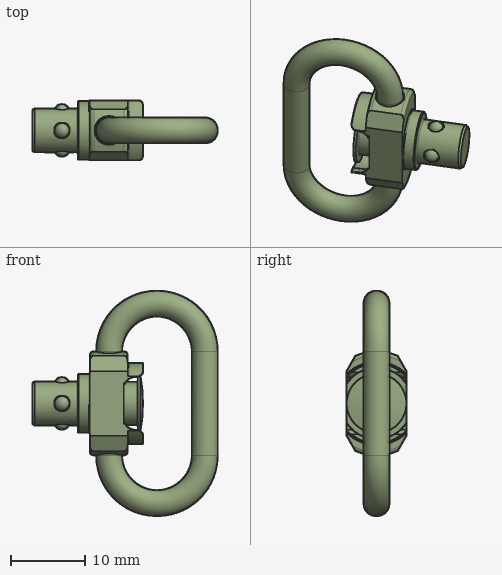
import cadquery as cq
import math


pin_radius = 3.0
pin_tip_length = 0.35
pin_tip_radius = 2.75
shoulder_front = 6.15
shoulder_radius = 4.0
shoulder_chamfer = 0.12
root_fillet = 0.15

ball_count = 4
ball_x = 4.03
ball_radius = 1.0
ball_protrusion = 0.58
ball_seat_radius = 1.07

block_front = 7.8
block_length = 5.1
block_radius = 7.05
block_edge_fillet = 0.5
block_width = 8.1
flat_half_height = 4.35
bevel_angle = 30.0

collar_length = 2.1
collar_radius = 5.5
collar_edge_chamfer = 0.1
pocket_sink = 0.5
bore_radius = 4.82
slot_half_height = 3.55
slot_floor_fillet = 1.45
slot_mouth_half_height = 4.18
slot_mouth_round = 1.22

button_stem_radius = 2.93
button_radius = 4.03
button_rim_length = 0.37
button_dome_height = 0.4

wire_radius = 1.77
bend_radius = 6.47
bend_x = 16.87
bend_z = 7.0
leg_hole_radius = 1.95
leg_hole_depth = 1.83

half_width = block_width / 2
block_back = block_front + block_length
collar_back = block_back + collar_length
pocket_floor = block_back - pocket_sink
pocket_depth = collar_back - pocket_floor
button_rim_back = collar_back - button_dome_height
button_rim_front = button_rim_back - button_rim_length
ball_orbit = pin_radius + ball_protrusion - ball_radius
leg_x = bend_x - bend_radius
leg_end_z = block_radius - leg_hole_depth
DIAGONAL = math.sqrt(0.5)


def revolve_about_x(outline):
    """Turn a closed half outline, drawn as (x, radius), around the X axis."""
    return outline.close().revolve(360, (0, 0, 0), (1, 0, 0))


def quarter_arc_middle(center_x, center_radius, radius, side_x, side_radius):
    """Middle point of a quarter arc that bulges towards the given sides of its centre."""
    offset = radius * DIAGONAL
    return (center_x + side_x * offset, center_radius + side_radius * offset)


def make_pin():
    pin_fillet_middle = quarter_arc_middle(
        shoulder_front - root_fillet, pin_radius + root_fillet, root_fillet, 1, -1
    )
    shoulder_fillet_middle = quarter_arc_middle(
        block_front - root_fillet, shoulder_radius + root_fillet, root_fillet, 1, -1
    )
    outline = (
        cq.Workplane("XY")
        .moveTo(0, 0)
        .lineTo(0, pin_tip_radius)
        .lineTo(pin_tip_length, pin_radius)
        .lineTo(shoulder_front - root_fillet, pin_radius)
        .threePointArc(pin_fillet_middle, (shoulder_front, pin_radius + root_fillet))
        .lineTo(shoulder_front, shoulder_radius - shoulder_chamfer)
        .lineTo(shoulder_front + shoulder_chamfer, shoulder_radius)
        .lineTo(block_front - root_fillet, shoulder_radius)
        .threePointArc(shoulder_fillet_middle, (block_front, shoulder_radius + root_fillet))
        .lineTo(block_front, 0)
    )
    sides = cq.Workplane("XY").box(2 * block_front, block_width, 2 * block_radius)
    return revolve_about_x(outline).intersect(sides)


def add_locking_balls(pin):
    """Sink a seat for each ball down to the ball centre and set the ball in it."""
    seat = cq.Workplane("XY", origin=(ball_x, 0, ball_orbit)).circle(ball_seat_radius).extrude(pin_radius)
    ball = cq.Workplane("XY", origin=(ball_x, 0, ball_orbit)).sphere(ball_radius)
    for index in range(ball_count):
        angle = index * 360 / ball_count
        pin = pin.cut(seat.rotate((0, 0, 0), (1, 0, 0), angle))
        pin = pin.union(ball.rotate((0, 0, 0), (1, 0, 0), angle))
    return pin


def make_block():
    """A turned drum with flat sides, bevelled above and below the flats."""
    drum = (
        cq.Workplane("YZ", origin=(block_front, 0, 0))
        .circle(block_radius)
        .extrude(block_length)
        .edges()
        .fillet(block_edge_fillet)
    )
    bevel_height = block_radius - flat_half_height
    top_half_width = half_width - bevel_height * math.tan(math.radians(bevel_angle))
    sides = (
        cq.Workplane("YZ", origin=(block_front, 0, 0))
        .moveTo(half_width, -flat_half_height)
        .lineTo(half_width, flat_half_height)
        .lineTo(top_half_width, block_radius)
        .lineTo(-top_half_width, block_radius)
        .lineTo(-half_width, flat_half_height)
        .lineTo(-half_width, -flat_half_height)
        .lineTo(-top_half_width, -block_radius)
        .lineTo(top_half_width, -block_radius)
        .close()
        .extrude(block_length)
    )
    return drum.intersect(sides)


def make_collar():
    """A ring with a filleted root, cut to the block width."""
    fillet_middle = quarter_arc_middle(
        block_back + root_fillet, collar_radius + root_fillet, root_fillet, -1, -1
    )
    outline = (
        cq.Workplane("XY")
        .moveTo(block_back, 0)
        .lineTo(block_back, collar_radius + root_fillet)
        .threePointArc(fillet_middle, (block_back + root_fillet, collar_radius))
        .lineTo(collar_back - collar_edge_chamfer, collar_radius)
        .lineTo(collar_back, collar_radius - collar_edge_chamfer)
        .lineTo(collar_back, 0)
    )
    sides = cq.Workplane("XY").box(2 * collar_back, block_width, 2 * block_radius)
    return revolve_about_x(outline).intersect(sides)


def make_bore():
    return cq.Workplane("YZ", origin=(pocket_floor, 0, 0)).circle(bore_radius).extrude(pocket_depth)


def make_slot():
    """A slot through both flats, with rounded floor corners and a mouth that flares in an arc."""
    mouth_flare = slot_mouth_half_height - slot_half_height
    flare_angle = math.acos(1 - mouth_flare / slot_mouth_round)
    flare_start = collar_back - slot_mouth_round * math.sin(flare_angle)
    flare_mid_x = flare_start + slot_mouth_round * math.sin(flare_angle / 2)
    flare_mid_z = slot_half_height + slot_mouth_round * (1 - math.cos(flare_angle / 2))
    return (
        cq.Workplane("XZ")
        .moveTo(pocket_floor, -slot_half_height)
        .lineTo(pocket_floor, slot_half_height)
        .lineTo(flare_start, slot_half_height)
        .threePointArc((flare_mid_x, flare_mid_z), (collar_back, slot_mouth_half_height))
        .lineTo(collar_back, -slot_mouth_half_height)
        .threePointArc((flare_mid_x, -flare_mid_z), (flare_start, -slot_half_height))
        .close()
        .extrude(half_width, both=True)
        .edges("|Y and <X")
        .fillet(slot_floor_fillet)
    )


def make_button():
    dome_radius = (button_radius**2 + button_dome_height**2) / (2 * button_dome_height)
    dome_mid_radius = button_radius / 2
    dome_mid_x = collar_back - dome_radius + math.sqrt(dome_radius**2 - dome_mid_radius**2)
    fillet_middle = quarter_arc_middle(
        button_rim_front - root_fillet, button_stem_radius + root_fillet, root_fillet, 1, -1
    )
    outline = (
        cq.Workplane("XY")
        .moveTo(pocket_floor, 0)
        .lineTo(pocket_floor, button_stem_radius)
        .lineTo(button_rim_front - root_fillet, button_stem_radius)
        .threePointArc(fillet_middle, (button_rim_front, button_stem_radius + root_fillet))
        .lineTo(button_rim_front, button_radius)
        .lineTo(button_rim_back, button_radius)
        .threePointArc((dome_mid_x, dome_mid_radius), (collar_back, 0))
    )
    return revolve_about_x(outline)


def make_leg_holes():
    hole = cq.Workplane("XY", origin=(leg_x, 0, leg_end_z)).circle(leg_hole_radius).extrude(block_radius)
    return hole.union(hole.mirror("XY"))


def make_swivel():
    pin = add_locking_balls(make_pin())
    head = make_block().union(make_collar()).cut(make_bore()).cut(make_slot()).cut(make_leg_holes())
    return pin.union(head).union(make_button())


def make_loop():
    """A round wire bent to a long loop, with both ends resting on the floors of the leg holes."""
    path = (
        cq.Workplane("XZ")
        .moveTo(leg_x, leg_end_z)
        .lineTo(leg_x, bend_z)
        .threePointArc((bend_x, bend_z + bend_radius), (bend_x + bend_radius, bend_z))
        .lineTo(bend_x + bend_radius, -bend_z)
        .threePointArc((bend_x, -bend_z - bend_radius), (leg_x, -bend_z))
        .lineTo(leg_x, -leg_end_z)
    )
    return cq.Workplane("XY", origin=(leg_x, 0, leg_end_z)).circle(wire_radius).sweep(path)


swivel = make_swivel()
loop = make_loop()

result = cq.Compound.makeCompound([*swivel.solids().vals(), loop.val()])